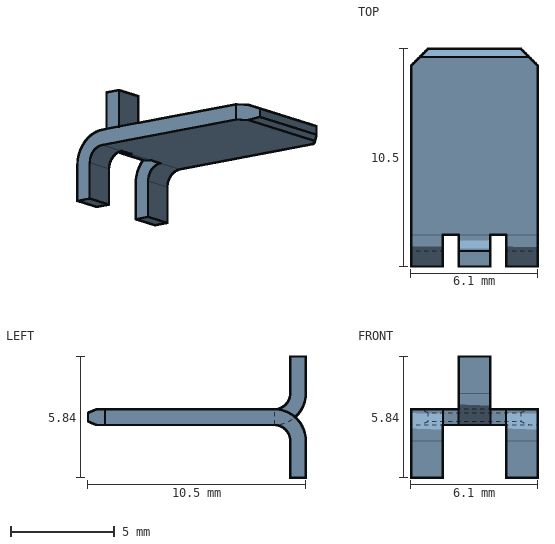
import cadquery as cq
import math

thickness = 0.762
blade_width = 6.1
total_length = 10.49
inner_bend_radius = 0.762
leg_straight = 1.778
corner_chamfer = 0.82
tip_bevel_length = 0.4
tip_bevel_depth = 0.17

leg_count = 3
gap_to_leg_ratio = 0.5
leg_width = blade_width / (leg_count + (leg_count - 1) * gap_to_leg_ratio)
leg_pitch = leg_width * (1 + gap_to_leg_ratio)

outer_bend_radius = inner_bend_radius + thickness
blade_length = total_length - outer_bend_radius
half_thickness = thickness / 2

UP = 1
DOWN = -1


def make_blade():
    """Flat blade with a bevelled tip and chamfered corners."""
    tip_half_thickness = half_thickness - tip_bevel_depth
    bevel_start = blade_length - tip_bevel_length
    bevelled_plate = (
        cq.Workplane("YZ")
        .moveTo(0, -half_thickness)
        .lineTo(bevel_start, -half_thickness)
        .lineTo(blade_length, -tip_half_thickness)
        .lineTo(blade_length, tip_half_thickness)
        .lineTo(bevel_start, half_thickness)
        .lineTo(0, half_thickness)
        .close()
        .extrude(blade_width / 2, both=True)
    )
    corner_trim = (
        cq.Workplane("XY")
        .center(0, blade_length / 2)
        .rect(blade_width, blade_length)
        .extrude(half_thickness, both=True)
        .faces(">Y")
        .edges("|Z")
        .chamfer(corner_chamfer)
    )
    return bevelled_plate.intersect(corner_trim)


def make_leg(x_center, direction):
    """Leg that curves a quarter turn out of the blade, then runs straight up or down."""
    bend_center_z = direction * (half_thickness + inner_bend_radius)
    leg_end_z = bend_center_z + direction * leg_straight
    mid_bend = math.cos(math.radians(45))

    def bend_midpoint(radius):
        return (-radius * mid_bend, bend_center_z - direction * radius * mid_bend)

    return (
        cq.Workplane("YZ", origin=(x_center, 0, 0))
        .moveTo(0, -direction * half_thickness)
        .threePointArc(bend_midpoint(outer_bend_radius), (-outer_bend_radius, bend_center_z))
        .lineTo(-outer_bend_radius, leg_end_z)
        .lineTo(-inner_bend_radius, leg_end_z)
        .lineTo(-inner_bend_radius, bend_center_z)
        .threePointArc(bend_midpoint(inner_bend_radius), (0, direction * half_thickness))
        .close()
        .extrude(leg_width / 2, both=True)
    )


result = make_blade().union(make_leg(0, UP))
for side in (-1, 1):
    result = result.union(make_leg(side * leg_pitch, DOWN))